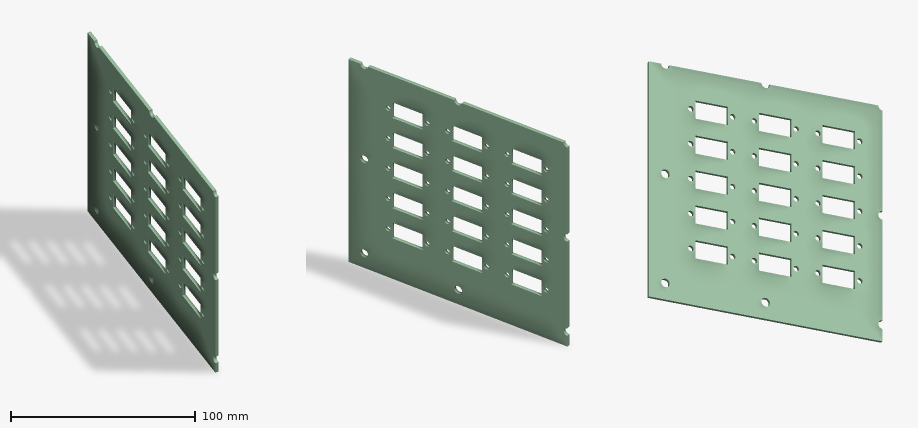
import cadquery as cq

panel_side = 140.0
panel_thickness = 2.0

mount_diameter = 5.0
mount_inset = 10.0
mount_columns = (mount_inset, panel_side / 2, panel_side)
mount_rows = (mount_inset, (mount_inset + panel_side) / 2, panel_side)

window_width = 19.5
window_height = 10.8
column_count = 3
row_count = 5
column_pitch = 38.1
row_span = 83.2
row_pitch = row_span / (row_count - 1)
grid_center_x = 75.7
grid_center_z = mount_rows[1]

screw_diameter = 3.2
screw_spacing = 25.0


def centered_positions(center, pitch, count):
    """Evenly spaced positions placed symmetrically about a center."""
    return [center + pitch * (i - (count - 1) / 2) for i in range(count)]


def front_plane(points):
    """Workplane on the front face (Y = 0) with the given X, Z points selected."""
    return cq.Workplane("XZ").pushPoints(points)


def through_holes(points, diameter):
    return front_plane(points).circle(diameter / 2).extrude(-panel_thickness)


def through_windows(points):
    return front_plane(points).rect(window_width, window_height).extrude(-panel_thickness)


panel = cq.Workplane("XY").box(panel_side, panel_thickness, panel_side, centered=False)

mount_points = [(x, z) for x in mount_columns for z in mount_rows]

window_points = [
    (x, z)
    for x in centered_positions(grid_center_x, column_pitch, column_count)
    for z in centered_positions(grid_center_z, row_pitch, row_count)
]

screw_points = [
    (screw_x, z)
    for x, z in window_points
    for screw_x in centered_positions(x, screw_spacing, 2)
]

result = (
    panel.cut(through_holes(mount_points, mount_diameter))
    .cut(through_windows(window_points))
    .cut(through_holes(screw_points, screw_diameter))
)